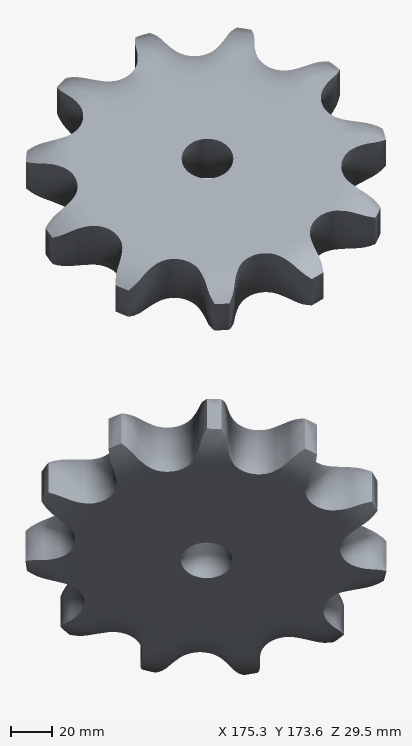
import cadquery as cq
import math

tooth_count = 11
pitch = 44.5
roller_diameter = 27.9
thickness = 29.5
bore_diameter = 25.0
tip_diameter = 176.2
tip_radius = tip_diameter / 2

face_radius = 68.0
side_arc_radius = pitch

pitch_angle = 2 * math.pi / tooth_count
pitch_radius = pitch / (2 * math.sin(pitch_angle / 2))

seat_radius = 0.5025 * roller_diameter
working_radius = 1.3025 * roller_diameter
working_center_distance = working_radius - seat_radius
topping_center_distance = 1.4 * roller_diameter
seat_angle = math.radians(35 + 60 / tooth_count)
working_angle = math.radians(18 - 56 / tooth_count)
pressure_angle = math.radians(17 - 64 / tooth_count)
topping_radius = (
    working_center_distance * math.cos(working_angle)
    + topping_center_distance * math.cos(pressure_angle)
    - working_radius
)

cutter_overreach = 1.2


def polar_point(center, radius, angle):
    """Point at a radius and direction from a centre."""
    return (center[0] + radius * math.cos(angle), center[1] + radius * math.sin(angle))


def direction(start, end):
    """Angle of the line from one point to another."""
    return math.atan2(end[1] - start[1], end[0] - start[0])


def mirrored(point):
    """Point reflected across the gap's centre line."""
    return (-point[0], point[1])


def flank_points():
    """Right flank of the gap centred on +Y: arc ends and midpoints, from the seat to the tip."""
    axis = (0, 0)
    seat_center = (0, pitch_radius)
    working_center = polar_point(seat_center, working_center_distance, math.pi - seat_angle)
    topping_center = polar_point(seat_center, topping_center_distance, -pitch_angle / 2)

    line_normal = working_angle - seat_angle
    seat_end = polar_point(working_center, working_radius, -seat_angle)
    working_mid = polar_point(working_center, working_radius, working_angle / 2 - seat_angle)

    line_start = polar_point(working_center, working_radius, line_normal)
    topping_start_angle = line_normal + math.pi
    line_end = polar_point(topping_center, topping_radius, topping_start_angle)

    center_distance = math.hypot(*topping_center)
    tip_cosine = (tip_radius**2 + center_distance**2 - topping_radius**2) / (
        2 * tip_radius * center_distance
    )
    tip = polar_point(axis, tip_radius, direction(axis, topping_center) + math.acos(tip_cosine))
    topping_mid_angle = (topping_start_angle + direction(topping_center, tip)) / 2
    topping_mid = polar_point(topping_center, topping_radius, topping_mid_angle)
    return seat_end, working_mid, line_start, line_end, topping_mid, tip


def make_blank():
    """Disc with a cylindrical rim and arc-shaped shoulders, before the teeth are cut."""
    half_thickness = thickness / 2
    center_height = half_thickness - side_arc_radius

    def shoulder_height(radius):
        return center_height + math.sqrt(side_arc_radius**2 - (radius - face_radius) ** 2)

    mid_radius = (face_radius + tip_radius) / 2
    mid_height = shoulder_height(mid_radius)
    rim_height = shoulder_height(tip_radius)
    return (
        cq.Workplane("XZ")
        .moveTo(0, -half_thickness)
        .lineTo(face_radius, -half_thickness)
        .threePointArc((mid_radius, -mid_height), (tip_radius, -rim_height))
        .lineTo(tip_radius, rim_height)
        .threePointArc((mid_radius, mid_height), (face_radius, half_thickness))
        .lineTo(0, half_thickness)
        .close()
        .revolve(360, (0, 0, 0), (0, 1, 0))
    )


def make_gap_cutter():
    """Prism that removes the gap between two teeth, centred on +Y."""
    seat_end, working_mid, line_start, line_end, topping_mid, tip = flank_points()
    outer_corner = (tip[0] * cutter_overreach, tip[1] * cutter_overreach)
    return (
        cq.Workplane("XY")
        .moveTo(*mirrored(outer_corner))
        .lineTo(*mirrored(tip))
        .threePointArc(mirrored(topping_mid), mirrored(line_end))
        .lineTo(*mirrored(line_start))
        .threePointArc(mirrored(working_mid), mirrored(seat_end))
        .threePointArc((0, pitch_radius - seat_radius), seat_end)
        .threePointArc(working_mid, line_start)
        .lineTo(*line_end)
        .threePointArc(topping_mid, tip)
        .lineTo(*outer_corner)
        .close()
        .extrude(thickness, both=True)
    )


sprocket = make_blank()
gap_cutter = make_gap_cutter()
for index in range(tooth_count):
    gap_angle = math.degrees(index * pitch_angle)
    sprocket = sprocket.cut(gap_cutter.rotate((0, 0, 0), (0, 0, 1), gap_angle))

bore = cq.Workplane("XY").circle(bore_diameter / 2).extrude(thickness, both=True)
result = sprocket.cut(bore)